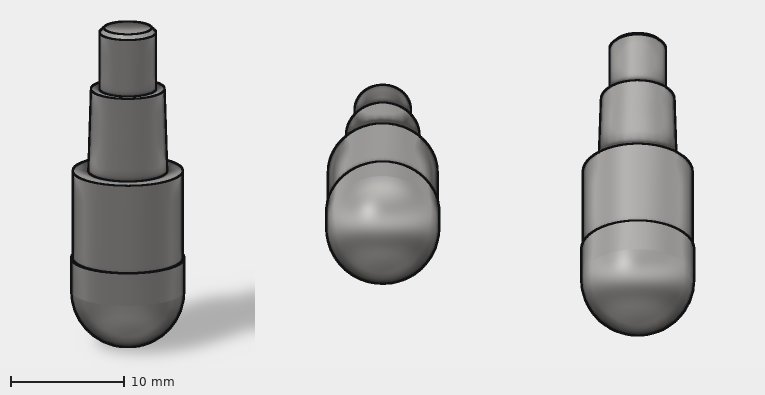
import cadquery as cq

total_height = 29.1
pin_base_z = 23.5
neck_base_z = 16.0
seam_z = 8.0

tip_radius = 5.0
barrel_radius = 4.85
neck_base_radius = 3.5
neck_top_radius = 3.25
pin_radius = 2.5

pin_chamfer = 0.4


def revolve_about_z(profile):
    """Revolve a closed radius-height profile a full turn about the Z axis."""
    return profile.close().revolve(360, (0, 0, 0), (0, 1, 0))


def make_tip():
    """Cap with a hemispherical end and a short straight wall."""
    arc_offset = tip_radius * 0.5**0.5
    profile = (
        cq.Workplane("XZ")
        .threePointArc((arc_offset, tip_radius - arc_offset), (tip_radius, tip_radius))
        .lineTo(tip_radius, seam_z)
        .lineTo(0, seam_z)
    )
    return revolve_about_z(profile)


def make_shank():
    """Stepped shank: barrel, tapered neck and chamfered pin, standing on the flat tip face."""
    profile = (
        cq.Workplane("XZ")
        .moveTo(0, seam_z)
        .lineTo(barrel_radius, seam_z)
        .lineTo(barrel_radius, neck_base_z)
        .lineTo(neck_base_radius, neck_base_z)
        .lineTo(neck_top_radius, pin_base_z)
        .lineTo(pin_radius, pin_base_z)
        .lineTo(pin_radius, total_height - pin_chamfer)
        .lineTo(pin_radius - pin_chamfer, total_height)
        .lineTo(0, total_height)
    )
    return revolve_about_z(profile)


tip = make_tip()
shank = make_shank()

result = cq.Compound.makeCompound([tip.val(), shank.val()])